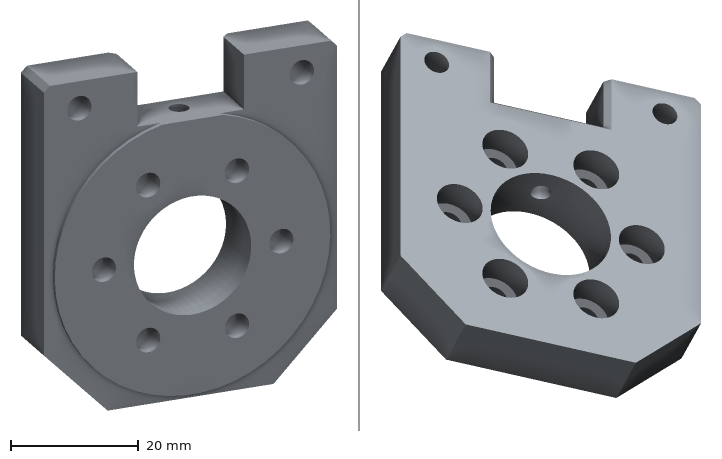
import cadquery as cq
import math

total_thickness = 10.0
rim_height = 0.8
plate_thickness = total_thickness - rim_height
width = 50.0
height = 56.5
edge_chamfer = 1.0
bottom_corner_y = 10.85
bottom_corner_z = 11.0

notch_width = 18.2
notch_depth = 9.25
notch_floor_z = height - notch_depth

bore_z = 24.3
bore_diameter = 20.0
disc_diameter = 47.0
bolt_circle_radius = 15.15
bolt_count = 6
bolt_diameter = 4.1
counterbore_diameter = 7.6
counterbore_depth = 5.05

mount_hole_diameter = 4.1
mount_hole_y = 19.0
mount_hole_z = height - 4.6

pin_diameter = 3.3


def cylinder_along_x(diameter, y, z, length):
    return cq.Workplane("YZ", origin=(0, y, z)).circle(diameter / 2).extrude(length)


def draw_notch(plane, offset):
    """Draw the notch rectangle, enlarged by offset at the sides and floor."""
    floor_z = notch_floor_z - offset
    return (
        plane.center(0, (floor_z + height) / 2)
        .rect(notch_width + 2 * offset, height - floor_z)
    )


half_width = width / 2
plate = (
    cq.Workplane("YZ")
    .moveTo(-half_width + bottom_corner_y, 0)
    .lineTo(half_width - bottom_corner_y, 0)
    .lineTo(half_width, bottom_corner_z)
    .lineTo(half_width, height - edge_chamfer)
    .lineTo(half_width - edge_chamfer, height)
    .lineTo(-half_width + edge_chamfer, height)
    .lineTo(-half_width, height - edge_chamfer)
    .lineTo(-half_width, bottom_corner_z)
    .close()
    .extrude(plate_thickness)
)

result = plate.union(cylinder_along_x(disc_diameter, 0, bore_z, total_thickness))
result = result.cut(draw_notch(cq.Workplane("YZ"), 0).extrude(total_thickness))

mouth = draw_notch(cq.Workplane("YZ"), edge_chamfer)
inner_plane = mouth.workplane(offset=edge_chamfer, origin=(0, 0, 0))
notch_chamfer = draw_notch(inner_plane, 0).loft(ruled=True)
result = result.cut(notch_chamfer)

result = result.cut(cylinder_along_x(bore_diameter, 0, bore_z, total_thickness))

for index in range(bolt_count):
    angle = 2 * math.pi * index / bolt_count
    y = bolt_circle_radius * math.cos(angle)
    z = bore_z + bolt_circle_radius * math.sin(angle)
    result = result.cut(cylinder_along_x(bolt_diameter, y, z, total_thickness))
    result = result.cut(cylinder_along_x(counterbore_diameter, y, z, counterbore_depth))

for y in (-mount_hole_y, mount_hole_y):
    result = result.cut(cylinder_along_x(mount_hole_diameter, y, mount_hole_z, total_thickness))

pin_hole = (
    cq.Workplane("XY", origin=(plate_thickness / 2, 0, bore_z))
    .circle(pin_diameter / 2)
    .extrude(height - bore_z)
)
result = result.cut(pin_hole)